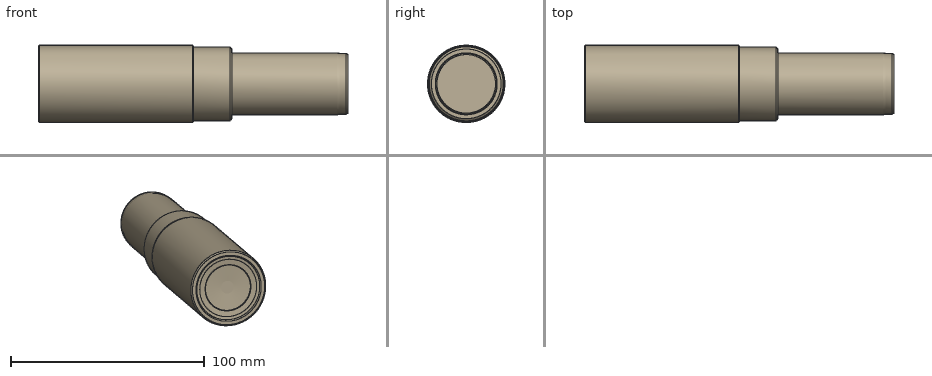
import cadquery as cq

LENGTH = 159.9
GRIP_RADIUS = 40.0 / 2
COLLAR_RADIUS = 38.2 / 2
SPIGOT_RADIUS = 32.0 / 2
TIP_RADIUS = 31.5 / 2

GRIP_END = 80.0
COLLAR_END = 100.0
FACE_RADIUS = 38.5 / 2
FACE_CHAMFER = 0.6
GRIP_CHAMFER = 0.5
COLLAR_CHAMFER = 1.1
TIP_LENGTH = 5.6
TIP_TAPER = 1.1
TIP_CHAMFER = 1.1
TIP_CHAMFER_HEIGHT = 0.6

RIM_RADIUS = 17.5
RIM_BEVEL = 0.6
DISH_SLOPE = 0.12
INSERT_RADIUS = 15.2
INSERT_DEPTH = 8.0
CUP_RADIUS = 24.0 / 2
CUP_BEVEL = 0.24
CUP_SLOPE = 0.07
CENTER_RADIUS = 3.4

dish_radius = RIM_RADIUS - RIM_BEVEL
cup_mouth_radius = CUP_RADIUS + CUP_BEVEL
seam_depth = RIM_BEVEL + DISH_SLOPE * (dish_radius - INSERT_RADIUS)
cup_mouth_depth = RIM_BEVEL + DISH_SLOPE * (dish_radius - cup_mouth_radius)
cup_depth = cup_mouth_depth + CUP_BEVEL
center_depth = cup_depth + CUP_SLOPE * (CUP_RADIUS - CENTER_RADIUS)


def revolve_profile(points):
    """Turn a closed (x, radius) outline around the X axis."""
    return cq.Workplane("XY").polyline(points).close().revolve(360, (0, 0, 0), (1, 0, 0))


def make_housing():
    """Stepped cylinder with a bevelled rim and a blind pocket for the insert."""
    tip_start = LENGTH - TIP_LENGTH
    return revolve_profile([
        (INSERT_DEPTH, 0),
        (INSERT_DEPTH, INSERT_RADIUS),
        (seam_depth, INSERT_RADIUS),
        (RIM_BEVEL, dish_radius),
        (0, RIM_RADIUS),
        (0, FACE_RADIUS),
        (FACE_CHAMFER, GRIP_RADIUS),
        (GRIP_END - GRIP_CHAMFER, GRIP_RADIUS),
        (GRIP_END, GRIP_RADIUS - GRIP_CHAMFER),
        (GRIP_END, COLLAR_RADIUS),
        (COLLAR_END - COLLAR_CHAMFER, COLLAR_RADIUS),
        (COLLAR_END, COLLAR_RADIUS - COLLAR_CHAMFER),
        (COLLAR_END, SPIGOT_RADIUS),
        (tip_start, SPIGOT_RADIUS),
        (tip_start + TIP_TAPER, TIP_RADIUS),
        (LENGTH - TIP_CHAMFER, TIP_RADIUS),
        (LENGTH, TIP_RADIUS - TIP_CHAMFER_HEIGHT),
        (LENGTH, 0),
    ])


def make_insert():
    """Disc in the pocket, its front face continuing the dish to a shallow cup."""
    return revolve_profile([
        (INSERT_DEPTH, 0),
        (INSERT_DEPTH, INSERT_RADIUS),
        (seam_depth, INSERT_RADIUS),
        (cup_mouth_depth, cup_mouth_radius),
        (cup_depth, CUP_RADIUS),
        (center_depth, CENTER_RADIUS),
        (center_depth, 0),
    ])


housing = make_housing()
insert = make_insert()

result = cq.Compound.makeCompound([housing.val(), insert.val()])